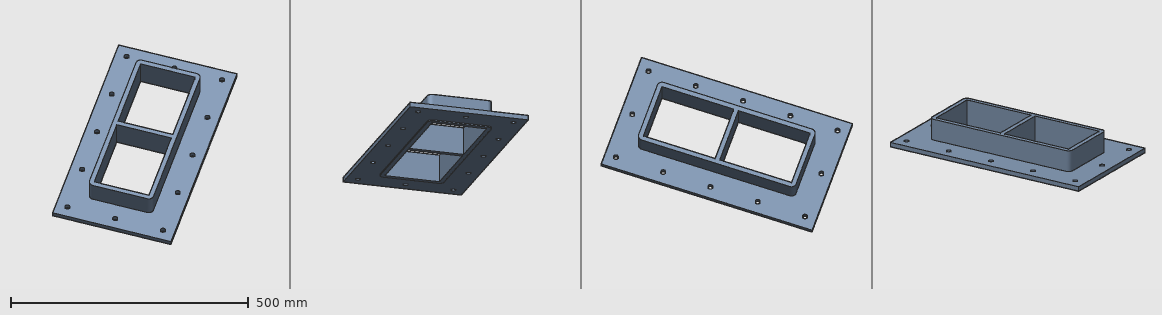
import cadquery as cq

plate_width = 260.5
plate_length = 469.0
plate_thickness = 10.5

total_height = 60.0
collar_drop = 3.0
wall = 10.5
opening_width = 120.0
opening_length = 159.5
collar_width = opening_width + 2 * wall
collar_length = 2 * opening_length + 3 * wall
corner_radius = wall

hole_diameter = 10.5
hole_pitch = 105.0
holes_across = 3
holes_along = 5


def make_plate():
    return cq.Workplane("XY").box(plate_width, plate_length, plate_thickness, centered=(True, True, False))


def make_collar():
    return (
        cq.Workplane("XY")
        .workplane(offset=-collar_drop)
        .rect(collar_width, collar_length)
        .extrude(total_height)
        .edges("|Z")
        .fillet(corner_radius)
    )


def make_openings():
    """Two through windows separated by one wall thickness."""
    return (
        cq.Workplane("XY")
        .workplane(offset=-collar_drop)
        .rarray(4.5, opening_length + wall, 1, 2)
        .rect(opening_width, opening_length)
        .extrude(total_height)
    )


def make_bolt_holes():
    """Evenly spaced holes on the perimeter of a rectangular grid."""
    half_across = (holes_across - 1) / 2
    half_along = (holes_along - 1) / 2
    centers = [
        ((column - half_across) * hole_pitch, (row - half_along) * hole_pitch)
        for column in range(holes_across)
        for row in range(holes_along)
        if column in (0, holes_across - 1) or row in (0, holes_along - 1)
    ]
    return cq.Workplane("XY").pushPoints(centers).circle(hole_diameter / 2).extrude(plate_thickness)


result = make_plate().union(make_collar()).cut(make_openings()).cut(make_bolt_holes())